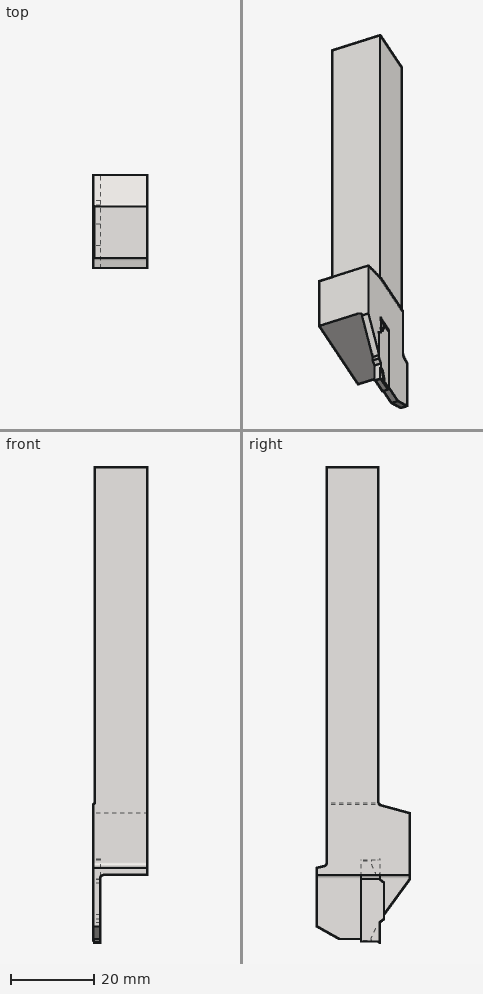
import cadquery as cq

TOTAL_HEIGHT = 114.3
HEAD_WIDTH = 13.0
HEAD_DEPTH = 22.4

SHANK_FRONT = 2.4
SHANK_BACK = 14.9
SHANK_SIDE_STEP = 0.3
STEP_TOP = 33.6

HEAD_BACK_TOP = 31.2
HEAD_BACK_SHOULDER = 33.3
SHOULDER_FILLET = 0.8
HEAD_BACK_BOTTOM = 15.3
SHELF_INNER = 18.6
SHELF_OUTER = 18.1
SHELF_FILLET = 0.8
HEAD_UNDERSIDE = 16.3
BLADE_THICKNESS = 1.7
BLADE_FILLET = 0.9
BLADE_BOTTOM = 0.9
BLADE_NOSE_Y = 5.5
BLADE_NOSE_TOP = 4.0
BLADE_BACK_BOTTOM = 6.9

INSERT_LENGTH = 20.2
INSERT_FRONT = 10.6
INSERT_BACK = 15.2
INSERT_WAIST_BACK = 16.2
WAIST_HALF = 4.3
WAIST_SLOPE = 0.8
END_RELIEF = 0.3
LIP_WIDTH = 0.5
END_CHAMFER = 0.2
SCOOP_DEPTH = 0.2
SCOOP_TIP_Y = 13.0
SCOOP_TIP_RISE = 1.0
SCOOP_REACH_Y = 14.2
SCOOP_LENGTH = 3.5


def extrude_x(points, start, end):
    """Extrude a closed outline of (Y, Z) points from X = start to X = end."""
    return cq.Workplane("YZ").workplane(offset=start).polyline(points).close().extrude(end - start)


def insert_outline():
    middle = INSERT_LENGTH / 2
    lower = [
        (INSERT_FRONT, END_RELIEF),
        (INSERT_BACK - LIP_WIDTH, END_RELIEF),
        (INSERT_BACK, 0),
        (INSERT_BACK, middle - WAIST_HALF - WAIST_SLOPE),
        (INSERT_WAIST_BACK, middle - WAIST_HALF),
    ]
    upper = [(y, INSERT_LENGTH - z) for y, z in reversed(lower)]
    return extrude_x(lower + upper, 0, BLADE_THICKNESS)


def make_insert():
    insert = insert_outline()
    for end_height in (END_RELIEF, INSERT_LENGTH - END_RELIEF):
        middle_of_end = (0, (INSERT_FRONT + INSERT_BACK - LIP_WIDTH) / 2, end_height)
        edge = cq.selectors.NearestToPointSelector(middle_of_end)
        insert = insert.edges(edge).chamfer(END_CHAMFER)
    scoop = [
        (INSERT_BACK, 0),
        (SCOOP_TIP_Y + END_RELIEF, 0),
        (SCOOP_TIP_Y, SCOOP_TIP_RISE),
        (SCOOP_REACH_Y, SCOOP_LENGTH),
        (INSERT_BACK, SCOOP_LENGTH),
    ]
    upper_scoop = [(y, INSERT_LENGTH - z) for y, z in scoop]
    for outline in (scoop, upper_scoop):
        insert = insert.cut(extrude_x(outline, 0, SCOOP_DEPTH))
    return insert


def make_body():
    """Full-width side profile of shank, head and blade."""
    outline = [
        (SHANK_FRONT, TOTAL_HEIGHT),
        (SHANK_FRONT, SHELF_INNER),
        (0, SHELF_OUTER),
        (0, BLADE_NOSE_TOP),
        (BLADE_NOSE_Y, BLADE_BOTTOM),
        (INSERT_FRONT, BLADE_BOTTOM),
        (INSERT_WAIST_BACK, BLADE_BACK_BOTTOM),
        (HEAD_DEPTH, HEAD_BACK_BOTTOM),
        (HEAD_DEPTH, HEAD_BACK_TOP),
        (SHANK_BACK, HEAD_BACK_SHOULDER),
        (SHANK_BACK, TOTAL_HEIGHT),
    ]
    body = extrude_x(outline, 0, HEAD_WIDTH)
    inside_corners = [
        (SHANK_FRONT, SHELF_INNER, SHELF_FILLET),
        (SHANK_BACK, HEAD_BACK_SHOULDER, SHOULDER_FILLET),
    ]
    for y, z, radius in inside_corners:
        corner = cq.selectors.NearestToPointSelector((HEAD_WIDTH / 2, y, z))
        body = body.edges(corner).fillet(radius)
    return body


def blade_clearance():
    """Space beside the blade, with a rounded inside corner."""
    return (
        cq.Workplane("XY")
        .box(HEAD_WIDTH, HEAD_DEPTH, HEAD_UNDERSIDE, centered=False)
        .translate((BLADE_THICKNESS, 0, 0))
        .edges("<X and >Z")
        .fillet(BLADE_FILLET)
    )


def side_step():
    """Strip removed from the -X face above the head, ending in a bevel."""
    return (
        cq.Workplane("XZ")
        .polyline([
            (0, STEP_TOP - SHANK_SIDE_STEP),
            (SHANK_SIDE_STEP, STEP_TOP),
            (SHANK_SIDE_STEP, TOTAL_HEIGHT),
            (0, TOTAL_HEIGHT),
        ])
        .close()
        .extrude(-HEAD_DEPTH)
    )


def make_holder():
    holder = make_body().cut(blade_clearance())
    holder = holder.cut(side_step())
    seat = insert_outline()
    return holder.cut(seat)


holder = make_holder()
cutting_insert = make_insert()
result = cq.Compound.makeCompound([holder.val(), cutting_insert.val()])